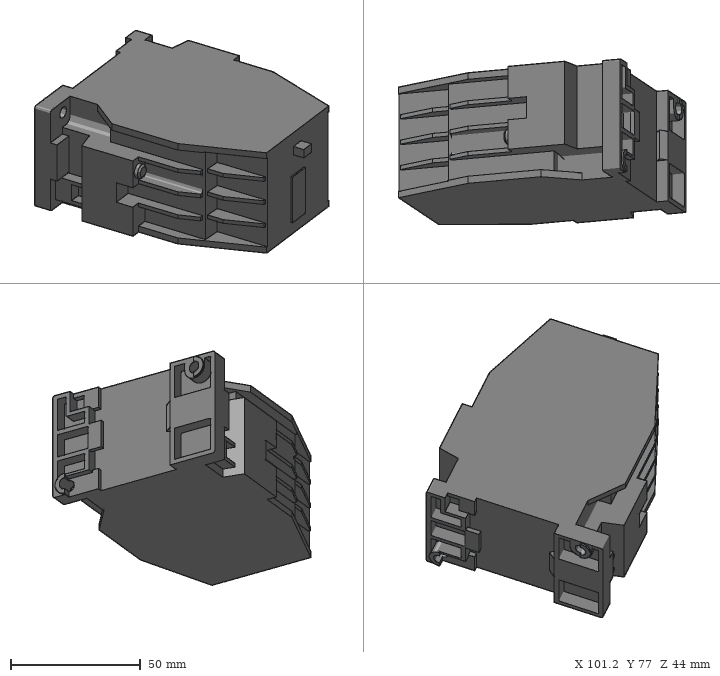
import cadquery as cq


HEIGHT = 44.0
MID_Z = HEIGHT / 2
FRONT_X = 95.8
BACK_X = 4.6
FOOT_LENGTH = 7.2
CORE_HALF = 29.9
COVER_HALF = 34.4
TOWER_HALF = 38.5
NOSE_HALF = 22.5
OUTSIDE = TOWER_HALF + 1

TOWER_BASE_X = 19.6
TOWER_EDGE_X = 21.6
TOWER_END_X = 44.9
TAPER_X = 62.8

RIB_PITCH = 10.1
RIB_THICKNESS = 1.6
RIB_BOTTOMS = [11.1 + RIB_PITCH * i for i in range(3)]
TOWER_TOP = RIB_BOTTOMS[-1] + RIB_THICKNESS
PLATE_THICKNESS = 2.6
COVER_UNDERSIDE = 41.2
NOSE_UNDERSIDE = 41.5
RIB_END_X = 71.3
STEP_X = 72.5
STEP_RUN = 0.4
NOSE_WALL_HALF = 22.0
NOSE_RIB_HALF = 28.4
NOSE_RIB_END_X = 94.9
NOTCH_X = 37.3
CHANNEL_FILLET = 1.3

RECESS_HALF = 24.2
RECESS_END_X = 29.2
RECESS_FILLET = 2.9
COVER_CUT_X = 32.7

SCREW_RADIUS = 2.9
SCREW_LENGTH = 2.3
SCREW_HALF = 37.6
SCREW_CHAMFER = 0.8
SCREW_Z = (RIB_BOTTOMS[1] + TOWER_TOP) / 2

LOWER_FOOT_INNER = -18.1
UPPER_FOOT_INNER = 18.7
UPPER_FOOT_OUTER = 35.2
FOOT_FILLET = 1.0
POCKET_DEPTH = 5.1
POCKET_FILLET = 0.5
POCKET_LOW_Z = (1.9, 15.4)
POCKET_HIGH_Z = (28.7, 42.1)
POCKET_MID_Z = (17.2, 26.7)
LOWER_POCKET_Y = (-36.6, -20.0)
UPPER_POCKET_OUTER = 33.1
UPPER_POCKET_INNER = 20.7
MID_POCKET_INNER = 19.1
ELBOW = (29.2, 33.6)
SUNKEN_OUTER = 27.3
SLOT_INNER = 22.7
LEDGE_X = 2.6
LEDGE_INNER = 16.1
LEDGE_TOP_Z = 35.2
LEDGE_BOTTOM_Z = 8.8
CATCH_Z = (16.3, 27.7)
HOOK_THICKNESS = 1.7
HOOK_INNER = 13.2
WEDGE_INNER = -15.2

HOLE_RADIUS = 2.3
RING_RADIUS = 4.3
RING_HEIGHT = 0.7
WEB_RADIUS = 4.6
LOWER_HOLE = (-29.3, 39.3)
UPPER_HOLE = (29.5, 4.7)
HOLE_CUT_Z = 7.8

TAB_X = 10.2
TAB_Z = (14.2, 30.1)
COIL_HALF = 34.7
COIL_END_X = 20.9
COIL_Z = (3.5, 13.8)
COIL_SLOT_X = 14.5
COIL_BLADE = 1.6

BUTTON_END_X = 100.5
BUTTON_Y = (-3.1, 2.4)
BUTTON_Z = (34.3, 38.0)
GUIDE_X = 96.5
GUIDE_Y = (-4.9, 4.5)
GUIDE_Z = (5.5, 25.5)


def block(x_range, y_range, z_range):
    """Axis-aligned box given by its limits."""
    (x0, x1), (y0, y1), (z0, z1) = x_range, y_range, z_range
    return cq.Workplane("XY").box(x1 - x0, y1 - y0, z1 - z0, centered=False).translate((x0, y0, z0))


def prism(points, z_range):
    """Outline in the XY plane, extruded over a height range."""
    plane = cq.Workplane("XY", origin=(0, 0, z_range[0]))
    return plane.polyline(points).close().extrude(z_range[1] - z_range[0])


def rod(x_range, center, radius):
    """Cylinder along X around a (y, z) center."""
    plane = cq.Workplane("YZ", origin=(x_range[0], 0, 0))
    return plane.center(*center).circle(radius).extrude(x_range[1] - x_range[0])


def turned_over(shape):
    """Half a turn about the long axis: carries the -Y side onto the +Y side."""
    return shape.rotate((0, 0, MID_Z), (1, 0, MID_Z), 180)


def body_blank():
    """Core, towers and tapered cover as one full-height plate."""
    half = [
        (FOOT_LENGTH, CORE_HALF),
        (TOWER_BASE_X, CORE_HALF),
        (TOWER_EDGE_X, TOWER_HALF),
        (TOWER_END_X, TOWER_HALF),
        (TOWER_END_X, COVER_HALF),
        (TAPER_X, COVER_HALF),
        (FRONT_X, NOSE_HALF),
    ]
    mirrored = [(x, -y) for x, y in reversed(half)]
    body = prism(half + mirrored, (0, HEIGHT))
    back = block((BACK_X, FOOT_LENGTH), (LOWER_FOOT_INNER, UPPER_FOOT_INNER), (0, HEIGHT))
    return body.union(back)


def tower_top_cutter():
    """Space above the -Y tower: the cover's cut corner and the filleted recess below it."""
    corner = [
        (FOOT_LENGTH, -RECESS_HALF),
        (TOWER_BASE_X, -RECESS_HALF),
        (COVER_CUT_X, -COVER_HALF),
        (TOWER_END_X, -COVER_HALF),
        (TOWER_END_X, -OUTSIDE),
        (FOOT_LENGTH, -OUTSIDE),
    ]
    above = prism(corner, (COVER_UNDERSIDE, HEIGHT))
    z_range = (TOWER_TOP, COVER_UNDERSIDE)
    recess = block((FOOT_LENGTH, RECESS_END_X), (-OUTSIDE, -RECESS_HALF), z_range)
    recess = recess.edges("(|X and >Y and <Z) or (|Z and >X and >Y)").fillet(RECESS_FILLET)
    beside = block((RECESS_END_X, RIB_END_X), (-OUTSIDE, -CORE_HALF), z_range)
    return above.union(recess).union(beside)


def channel_cutter():
    """Channels between the ribs on the -Y side, from the tower to the step."""
    y_range = (-OUTSIDE, -CORE_HALF)
    floors = [PLATE_THICKNESS] + [z + RIB_THICKNESS for z in RIB_BOTTOMS[:-1]]
    starts = [TOWER_END_X, NOTCH_X, TOWER_END_X]
    cutter = block((RIB_END_X, STEP_X), y_range, (PLATE_THICKNESS, COVER_UNDERSIDE))
    for start, floor, ceiling in zip(starts, floors, RIB_BOTTOMS):
        channel = block((start, RIB_END_X), y_range, (floor, ceiling))
        if floor == floors[-1]:
            channel = channel.edges("|X and >Y").fillet(CHANNEL_FILLET)
        cutter = cutter.union(channel)
    return cutter


def nose_cutter():
    """Deeper pockets between the ribs on the -Y side, from the step to the front."""
    outline = [
        (STEP_X, -OUTSIDE),
        (STEP_X, -CORE_HALF),
        (STEP_X + STEP_RUN, -NOSE_WALL_HALF),
        (FRONT_X, -NOSE_WALL_HALF),
        (FRONT_X, -OUTSIDE),
    ]
    cutter = prism(outline, (PLATE_THICKNESS, NOSE_UNDERSIDE))
    for z in RIB_BOTTOMS:
        rib = block((STEP_X, NOSE_RIB_END_X), (-NOSE_RIB_HALF, -NOSE_WALL_HALF), (z, z + RIB_THICKNESS))
        cutter = cutter.cut(rib)
    return cutter


def terminal_screw():
    """Screw head standing out of the front of the -Y tower."""
    center = (SCREW_RADIUS - SCREW_HALF, SCREW_Z)
    head = rod((TOWER_END_X, TOWER_END_X + SCREW_LENGTH), center, SCREW_RADIUS)
    return head.faces(">X").chamfer(SCREW_CHAMFER)


def housing():
    body = body_blank()
    for cutter in (tower_top_cutter(), channel_cutter(), nose_cutter()):
        body = body.cut(cutter).cut(turned_over(cutter))
    return body.union(terminal_screw()).union(turned_over(terminal_screw()))


def half_ring(hole, y_range):
    """Raised ring round a mounting hole, kept only inside the y range."""
    ring = rod((-RING_HEIGHT, 0), hole, RING_RADIUS)
    return ring.intersect(block((-RING_HEIGHT, 0), y_range, (0, HEIGHT)))


def lower_foot():
    """Foot on the -Y side with two pockets, a rail wedge and a mounting hole."""
    foot = block((0, FOOT_LENGTH), (-TOWER_HALF, LOWER_FOOT_INNER), (0, HEIGHT))
    foot = foot.edges("|X and <Y").fillet(FOOT_FILLET)

    high = block((0, POCKET_DEPTH), LOWER_POCKET_Y, POCKET_HIGH_Z).edges("|X").fillet(POCKET_FILLET)
    low = block((0, POCKET_DEPTH), LOWER_POCKET_Y, POCKET_LOW_Z).edges("|X").fillet(POCKET_FILLET)
    hole_y, hole_z = LOWER_HOLE
    web = rod((0, POCKET_DEPTH), LOWER_HOLE, WEB_RADIUS)
    web_y = (hole_y - WEB_RADIUS, hole_y + WEB_RADIUS)
    web = web.union(block((0, POCKET_DEPTH), web_y, (hole_z, HEIGHT)))
    foot = foot.cut(high.cut(web)).cut(low)

    wedge = [(0, LOWER_FOOT_INNER), (BACK_X / 2, WEDGE_INNER), (BACK_X, LOWER_FOOT_INNER)]
    foot = foot.union(prism(wedge, CATCH_Z))
    foot = foot.union(half_ring(LOWER_HOLE, (-TOWER_HALF, hole_y)))
    return foot.cut(rod((-RING_HEIGHT, FOOT_LENGTH), LOWER_HOLE, HOLE_RADIUS))


def upper_foot_pockets():
    """Three pockets in the back of the +Y foot: an L, a rectangle and one round the hole."""
    depth = (0, POCKET_DEPTH)
    elbow_y, elbow_z = ELBOW
    bottom_z, top_z = POCKET_HIGH_Z
    wide_y = (UPPER_POCKET_INNER, UPPER_POCKET_OUTER)
    ell = block(depth, wide_y, (bottom_z, elbow_z))
    ell = ell.union(block(depth, (elbow_y, UPPER_POCKET_OUTER), (elbow_z, top_z)))
    ell = ell.edges("|X").fillet(POCKET_FILLET)
    middle = block(depth, (MID_POCKET_INNER, UPPER_POCKET_OUTER), POCKET_MID_Z)
    middle = middle.edges("|X").fillet(POCKET_FILLET)
    low = block(depth, wide_y, (LEDGE_BOTTOM_Z, POCKET_LOW_Z[1]))
    low = low.edges("|X and (not (>Y and <Z))").fillet(POCKET_FILLET)
    hole_y, hole_z = UPPER_HOLE
    beside_ring = block(depth, (hole_y, UPPER_POCKET_OUTER), (hole_z, LEDGE_BOTTOM_Z))
    low = low.union(beside_ring.cut(rod(depth, UPPER_HOLE, RING_RADIUS)))
    return ell.union(middle).union(low)


def upper_foot():
    """Foot on the +Y side with pockets, sunken corners, a rail hook and a mounting hole."""
    foot = block((0, FOOT_LENGTH), (UPPER_FOOT_INNER, UPPER_FOOT_OUTER), (0, HEIGHT))
    foot = foot.edges("|X and >Y").fillet(FOOT_FILLET)
    foot = foot.cut(upper_foot_pockets())

    foot = foot.cut(block((0, LEDGE_X), (UPPER_FOOT_INNER, SUNKEN_OUTER), (LEDGE_TOP_Z, HEIGHT)))
    foot = foot.cut(block((0, POCKET_DEPTH), (SLOT_INNER, SUNKEN_OUTER), (LEDGE_TOP_Z, POCKET_HIGH_Z[1])))
    hole_y = UPPER_HOLE[0]
    foot = foot.cut(block((0, LEDGE_X), (UPPER_FOOT_INNER, hole_y), (0, HOLE_CUT_Z)))

    for z_range in ((0, LEDGE_BOTTOM_Z), (LEDGE_TOP_Z, HEIGHT)):
        foot = foot.union(block((LEDGE_X, BACK_X), (LEDGE_INNER, UPPER_FOOT_INNER), z_range))
    foot = foot.union(block((0, HOOK_THICKNESS), (HOOK_INNER, UPPER_FOOT_INNER), CATCH_Z))
    foot = foot.union(half_ring(UPPER_HOLE, (hole_y, UPPER_FOOT_OUTER)))
    return foot.cut(rod((-RING_HEIGHT, FOOT_LENGTH), UPPER_HOLE, HOLE_RADIUS))


def coil_terminal():
    """Two blades beside the lower foot, joined by a web at the foot."""
    y_range = (-COIL_HALF, -CORE_HALF)
    terminal = block((FOOT_LENGTH, COIL_END_X), y_range, COIL_Z)
    slot_z = (COIL_Z[0] + COIL_BLADE, COIL_Z[1] - COIL_BLADE)
    return terminal.cut(block((COIL_SLOT_X, COIL_END_X), y_range, slot_z))


spacer_tab = block((FOOT_LENGTH, TAB_X), (-TOWER_HALF, -CORE_HALF), TAB_Z)
button = block((FRONT_X, BUTTON_END_X), BUTTON_Y, BUTTON_Z)
guide_plate = block((FRONT_X, GUIDE_X), GUIDE_Y, GUIDE_Z)

result = housing()
for piece in (lower_foot(), upper_foot(), coil_terminal(), spacer_tab, button, guide_plate):
    result = result.union(piece)